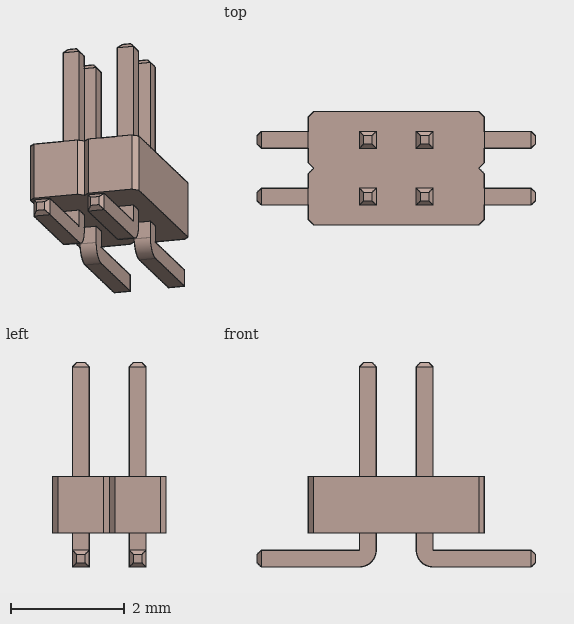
import cadquery as cq

length = 4.9
height = 3.6

pitch = 1.0
pins_per_row = 2
pin_size = 0.3
tip_inset = pin_size / 4
tip_length = 0.08

body_length = 3.1
body_width = pins_per_row * pitch
body_height = 1.0
body_bottom = 0.6
corner_chamfer = 0.1


def body_segment(y):
    """One pitch-wide block with chamfered vertical corners."""
    return (
        cq.Workplane("XY", origin=(0, y, body_bottom))
        .rect(body_length, pitch)
        .extrude(body_height)
        .edges("|Z")
        .chamfer(corner_chamfer)
    )


def tapered_tip(plane):
    """Pyramidal pin end growing along the plane's normal."""
    small_size = pin_size - 2 * tip_inset
    return (
        cq.Workplane(plane)
        .rect(pin_size, pin_size)
        .workplane(offset=tip_length)
        .rect(small_size, small_size)
        .loft(ruled=True)
    )


def right_pin(y):
    """L-shaped pin: vertical post, rounded outer bend and foot toward +X."""
    post_x = pitch / 2
    inner_x = post_x + pin_size / 2
    outer_x = post_x - pin_size / 2
    foot_end = length / 2 - tip_length
    post_top = height - tip_length
    shank = (
        cq.Workplane("XZ", origin=(0, y + pin_size / 2, 0))
        .moveTo(outer_x, post_top)
        .lineTo(outer_x, pin_size)
        .radiusArc((inner_x, 0), -pin_size)
        .lineTo(foot_end, 0)
        .lineTo(foot_end, pin_size)
        .lineTo(inner_x, pin_size)
        .lineTo(inner_x, post_top)
        .close()
        .extrude(pin_size)
    )
    post_tip = tapered_tip(cq.Plane(origin=(post_x, y, post_top)))
    foot_tip = tapered_tip(
        cq.Plane(origin=(foot_end, y, pin_size / 2), xDir=(0, 1, 0), normal=(1, 0, 0))
    )
    return shank.union(post_tip).union(foot_tip)


result = (
    cq.Workplane("XY", origin=(0, 0, body_bottom))
    .rect(body_length - 2 * corner_chamfer, body_width)
    .extrude(body_height)
)

for row in range(pins_per_row):
    row_y = (row - (pins_per_row - 1) / 2) * pitch
    pin = right_pin(row_y)
    result = result.union(body_segment(row_y)).union(pin).union(pin.mirror("YZ"))